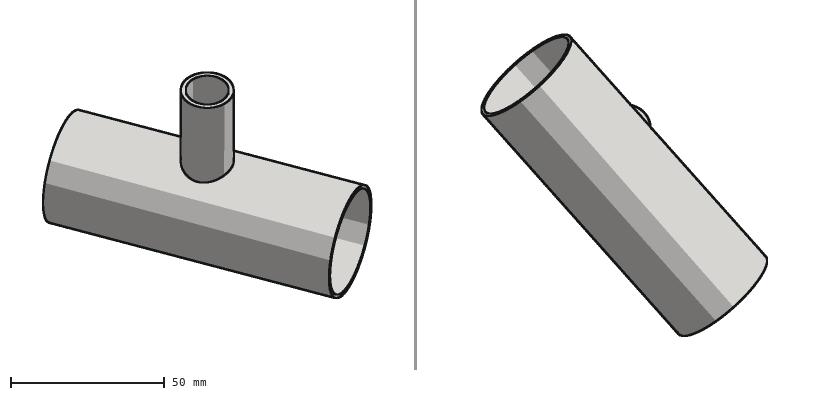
import cadquery as cq

run_length = 100.0
run_outer_diameter = 38.1
run_bore_diameter = 35.7

branch_height = 50.0
branch_outer_diameter = 17.3
branch_bore_diameter = 14.0


def run_cylinder(diameter):
    """Cylinder along X over the full length of the main pipe."""
    return cq.Workplane("YZ").circle(diameter / 2).extrude(run_length / 2, both=True)


def branch_cylinder(diameter):
    """Cylinder along Z from the main pipe axis to the branch end."""
    return cq.Workplane("XY").circle(diameter / 2).extrude(branch_height)


outer_body = run_cylinder(run_outer_diameter).union(branch_cylinder(branch_outer_diameter))
result = outer_body.cut(run_cylinder(run_bore_diameter)).cut(branch_cylinder(branch_bore_diameter))